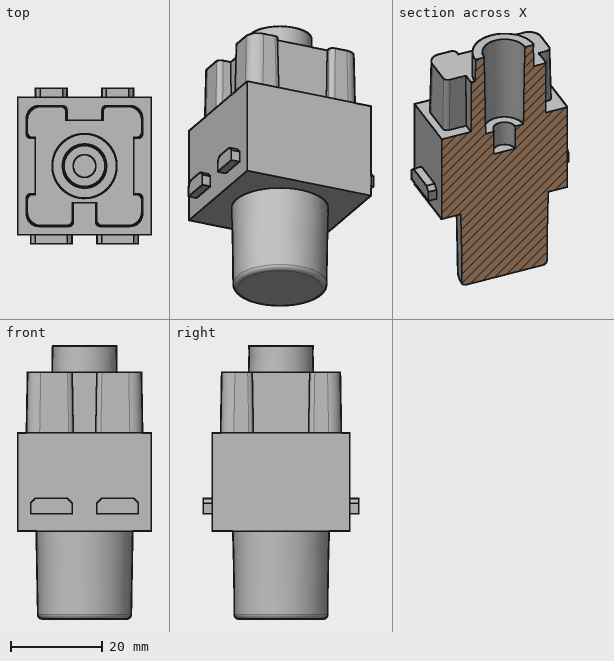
import cadquery as cq
import math

total_height = 60.0
base_height = 19.3
block_height = 21.6
head_height = 13.3
block_top = base_height + block_height
head_top = block_top + head_height
collar_height = total_height - head_top

draft_angle = 1.0
draft_slope = math.tan(math.radians(draft_angle))
tolerance = 0.0005

base_top_diameter = 21.25
base_edge_radius = 1.1

block_x = 29.35
overall_y = 34.2
tab_reach = 2.0
block_y = overall_y - 2 * tab_reach
tab_pitch = 14.6
tab_bottom = 23.1
tab_height = 3.4
tab_chamfer = 1.0
front_tab_width = 9.1
back_tab_width = 6.95

head_x = 25.55
head_y = 26.6
front_notch_width = 4.9
front_notch_floor = 8.1
back_notch_width = 7.7
back_notch_floor = 10.0
side_notch_width = 12.1
side_notch_floor = 10.8
head_corner_radius = 2.9
notch_edge_radius = 1.1

collar_foot_diameter = 14.3
bore_top_diameter = 9.7
bore_floor_diameter = 9.0
bore_depth = (bore_top_diameter - bore_floor_diameter) / 2 / draft_slope
socket_diameter = 5.0
socket_depth = 6.0


def make_base():
    """Drafted round base, widest where it meets the block."""
    return (
        cq.Workplane("XY").workplane(offset=base_height)
        .circle(base_top_diameter / 2)
        .extrude(-base_height, taper=draft_angle)
        .faces("<Z").edges().fillet(base_edge_radius)
    )


def make_tab(width, x_center, side):
    """Tab on the -Y (side = -1) or +Y (side = 1) face, with two chamfered top corners."""
    return (
        cq.Workplane("XY")
        .box(width, tab_reach, tab_height, centered=(True, True, False))
        .edges("|Y and >Z").chamfer(tab_chamfer)
        .translate((x_center, side * (block_y + tab_reach) / 2, tab_bottom))
    )


def make_block():
    """Rectangular block with two wide tabs on -Y and two narrow ones on +Y."""
    block = (
        cq.Workplane("XY")
        .box(block_x, block_y, block_height, centered=(True, True, False))
        .translate((0, 0, base_height))
    )
    for side, width in ((-1, front_tab_width), (1, back_tab_width)):
        for x_center in (-tab_pitch / 2, tab_pitch / 2):
            block = block.union(make_tab(width, x_center, side))
    return block


def make_notch(foot_width, floor, turn):
    """Cutter facing -Y, then turned about Z; it widens upward and has an upright floor."""
    half_foot = foot_width / 2
    half_top = half_foot + head_height * draft_slope
    return (
        cq.Workplane("XZ", origin=(0, -floor, block_top))
        .polyline([(-half_foot, 0), (half_foot, 0), (half_top, head_height), (-half_top, head_height)])
        .close()
        .extrude(max(head_x, head_y) / 2)
        .rotate((0, 0, 0), (0, 0, 1), turn)
    )


def faces_reached(edge):
    """Count the outer faces of the head (0, 1 or 2) on which the foot of an upright edge lies."""
    foot = min((edge.startPoint(), edge.endPoint()), key=lambda point: point.z)
    on_x_face = math.isclose(abs(foot.x), head_x / 2, abs_tol=tolerance)
    on_y_face = math.isclose(abs(foot.y), head_y / 2, abs_tol=tolerance)
    return on_x_face + on_y_face


def make_head():
    """Drafted rectangle with a notch in each side and rounded upright outer edges."""
    head = (
        cq.Workplane("XY").workplane(offset=block_top)
        .rect(head_x, head_y)
        .extrude(head_height, taper=draft_angle)
    )
    notches = (
        (front_notch_width, front_notch_floor, 0),
        (side_notch_width, side_notch_floor, 90),
        (back_notch_width, back_notch_floor, 180),
        (side_notch_width, side_notch_floor, 270),
    )
    for foot_width, floor, turn in notches:
        head = head.cut(make_notch(foot_width, floor, turn))

    upright_edges = head.edges("not(#Z)").vals()
    corners = [edge for edge in upright_edges if faces_reached(edge) == 2]
    mouths = [edge for edge in upright_edges if faces_reached(edge) == 1]
    solid = head.val()
    solid = solid.fillet(head_corner_radius, corners)
    solid = solid.fillet(notch_edge_radius, mouths)
    return cq.Workplane(solid)


def make_collar():
    """Round collar that narrows upward by the draft angle."""
    return (
        cq.Workplane("XY").workplane(offset=head_top)
        .circle(collar_foot_diameter / 2)
        .extrude(collar_height, taper=draft_angle)
    )


def make_bore():
    """Drafted blind bore with a smaller round socket in its floor."""
    bore = (
        cq.Workplane("XY").workplane(offset=total_height)
        .circle(bore_top_diameter / 2)
        .extrude(-bore_depth, taper=draft_angle)
    )
    socket = (
        cq.Workplane("XY").workplane(offset=total_height - bore_depth)
        .circle(socket_diameter / 2)
        .extrude(-socket_depth)
    )
    return bore.union(socket)


result = make_base().union(make_block()).union(make_head()).union(make_collar()).cut(make_bore())